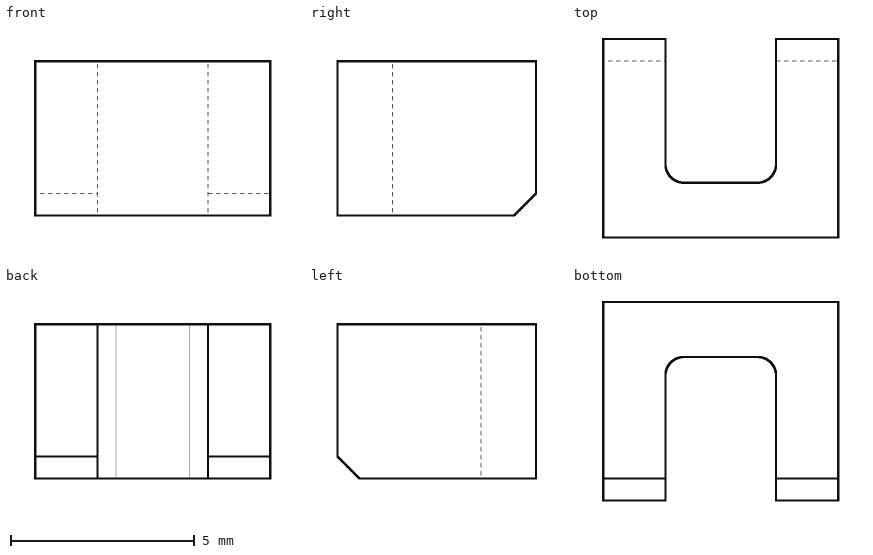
import cadquery as cq

width = 6.4
depth = 5.4
height = 4.2

slot_width = 3.0
back_wall = 1.5
slot_depth = depth - back_wall
slot_corner_radius = 0.5

tip_chamfer = 0.6


def make_block():
    """Block centred on X, with its front face at Y = 0 and its base at Z = 0."""
    block = cq.Workplane("XY").box(width, depth, height, centered=(True, False, False))
    return block.faces(">Y").edges("<Z").chamfer(tip_chamfer)


def make_slot():
    """Slot volume with its two inner vertical corners rounded."""
    slot = cq.Workplane("XY").box(slot_width, slot_depth, height, centered=(True, False, False))
    slot = slot.faces("<Y").edges("|Z").fillet(slot_corner_radius)
    return slot.translate((0, back_wall, 0))


result = make_block().cut(make_slot())